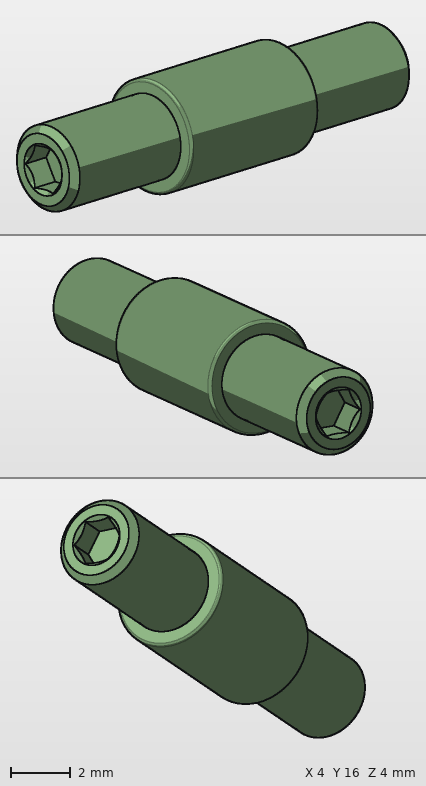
import cadquery as cq
import math

overall_length = 16.0

sleeve_diameter = 4.0
sleeve_length = 6.0
sleeve_fillet = 0.1

screw_diameter = 3.0
screw_length = overall_length / 2
screw_chamfer = 0.25

hex_across_flats = 1.5
hex_across_corners = hex_across_flats / math.cos(math.radians(30))
socket_depth = 1.0
countersink_diameter = 1.8
countersink_angle = 90.0
countersink_depth = countersink_diameter / 2 / math.tan(math.radians(countersink_angle / 2))


def make_sleeve():
    """Tube with rounded outer rims and a plain bore for the screws."""
    return (
        cq.Workplane("XZ", origin=(0, sleeve_length / 2, 0))
        .circle(sleeve_diameter / 2)
        .extrude(sleeve_length)
        .faces("<Y or >Y")
        .fillet(sleeve_fillet)
        .faces("<Y")
        .workplane()
        .hole(screw_diameter)
    )


def make_socket():
    """Hexagonal recess with a conical lead-in, opening at the -Y end of a screw."""
    socket = (
        cq.Workplane("XZ", origin=(0, -screw_length, 0))
        .polygon(6, hex_across_corners)
        .extrude(-socket_depth)
    )
    lead_in = cq.Workplane(
        cq.Solid.makeCone(
            countersink_diameter / 2,
            0,
            countersink_depth,
            pnt=cq.Vector(0, -screw_length, 0),
            dir=cq.Vector(0, 1, 0),
        )
    )
    return socket.union(lead_in)


def make_screw(turn):
    """Set screw from Y = 0 out to -Y, turned about Z by the given angle in degrees."""
    body = (
        cq.Workplane("XZ")
        .circle(screw_diameter / 2)
        .extrude(screw_length)
        .faces("<Y")
        .chamfer(screw_chamfer)
    )
    screw = body.cut(make_socket())
    return screw.rotate((0, 0, 0), (0, 0, 1), turn)


sleeve = make_sleeve()
screws = [make_screw(turn) for turn in (0, 180)]

result = cq.Compound.makeCompound([sleeve.val(), *[screw.val() for screw in screws]])